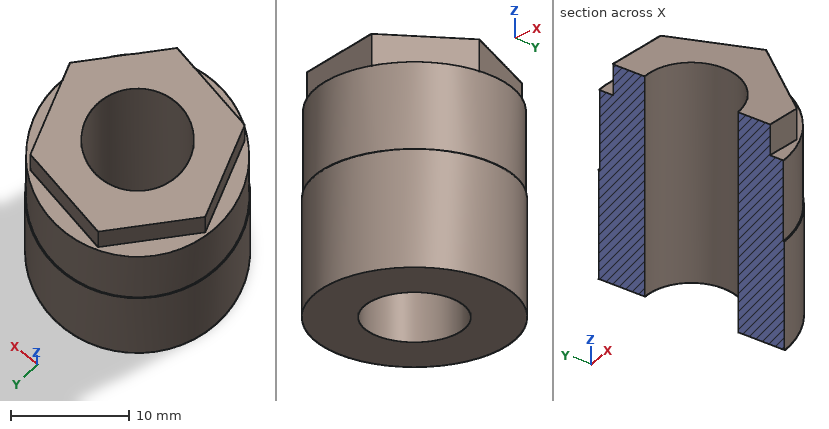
import cadquery as cq

total_height = 22.55
base_diameter = 19.05
base_height = 11.15

barrel_diameter = 18.85

hex_height = 3.15
hex_across_corners = 18.3
hex_turn = -9.4

bore_diameter = 9.51

barrel_height = total_height - base_height - hex_height

body = (
    cq.Workplane("XY")
    .circle(base_diameter / 2)
    .extrude(base_height)
    .faces(">Z")
    .workplane()
    .circle(barrel_diameter / 2)
    .extrude(barrel_height)
)

head = (
    cq.Workplane("XY")
    .workplane(offset=base_height + barrel_height)
    .transformed(rotate=(0, 0, hex_turn))
    .polygon(6, hex_across_corners)
    .extrude(hex_height)
)

bore = cq.Workplane("XY").circle(bore_diameter / 2).extrude(total_height)

result = body.union(head).cut(bore)